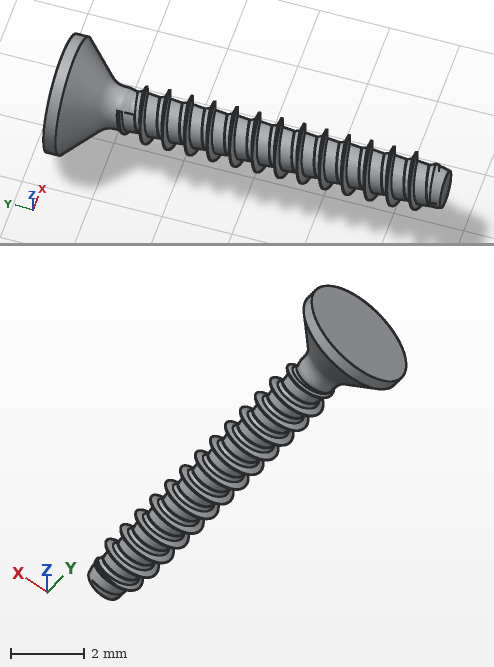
import cadquery as cq
import math

length = 11.0

head_radius = 3.35 / 2
rim_height = 0.35
cone_half_angle = math.radians(45)
neck_radius = 0.6
neck_fillet = 0.6

core_radius = 0.545
neck_end_depth = 1.81
core_start_depth = 2.07
tip_radius = 0.52
tip_taper_length = 0.1
tip_cone_height = 0.02
tip_cutter_height = 0.6
join_tolerance = 1e-4

crest_radius = 0.8
crest_width = 0.03
blade_foot_width = 0.15
head_foot_radius = 0.6
tip_foot_radius = 0.58
head_foot_reach = 0.21
tip_foot_reach = 0.41
root_sink = 0.05
foot_step = 0.004
pitch = 0.6415
thread_start_depth = 1.79
thread_start_angle = math.radians(135)
thread_turns = 14.125
fade_in_turns = 1.125
fade_in_crest_radius = 0.64
fade_out_turns = 1.25
fade_out_crest_radius = head_foot_radius
points_per_turn = 16


def make_head():
    """Head and neck, revolved down to the depth where the plain core begins."""
    sin_half = math.sin(cone_half_angle)
    cos_half = math.cos(cone_half_angle)
    fillet_top_radius = neck_radius + neck_fillet * (1 - cos_half)
    fillet_top_depth = rim_height + (head_radius - fillet_top_radius) / math.tan(cone_half_angle)
    fillet_end_depth = fillet_top_depth + neck_fillet * sin_half
    fillet_mid = (
        neck_radius + neck_fillet * (1 - math.cos(cone_half_angle / 2)),
        -fillet_end_depth + neck_fillet * math.sin(cone_half_angle / 2),
    )
    profile = (
        cq.Workplane("XY")
        .moveTo(0, 0)
        .lineTo(head_radius, 0)
        .lineTo(head_radius, -rim_height)
        .lineTo(fillet_top_radius, -fillet_top_depth)
        .threePointArc(fillet_mid, (neck_radius, -fillet_end_depth))
        .lineTo(neck_radius, -neck_end_depth)
        .lineTo(core_radius, -core_start_depth)
        .lineTo(0, -core_start_depth)
        .close()
    )
    return profile.revolve(360, (0, 0, 0), (0, 1, 0))


def thread_section(crest):
    """Corners of the thread section as (radius, offset towards the tip) for one crest radius."""
    half_foot = blade_foot_width / 2
    return [
        (core_radius - root_sink, -head_foot_reach),
        (core_radius + foot_step, -head_foot_reach),
        (head_foot_radius, -half_foot),
        (crest, -crest_width / 2),
        (crest, crest_width / 2),
        (tip_foot_radius, half_foot),
        (core_radius + foot_step, tip_foot_reach),
        (core_radius - root_sink, tip_foot_reach),
    ]


def helix_edge(start_corner, end_corner, turns):
    """Helix from turns[0] to turns[1] whose radius runs evenly between the two corners."""
    start_radius, offset = start_corner
    end_radius = end_corner[0]
    span = turns[1] - turns[0]
    steps = math.ceil(span * points_per_turn)
    points = []
    for step in range(steps + 1):
        fraction = step / steps
        turn = turns[0] + fraction * span
        radius = start_radius + fraction * (end_radius - start_radius)
        angle = thread_start_angle + 2 * math.pi * turn
        depth = thread_start_depth + pitch * turn + offset
        points.append(cq.Vector(radius * math.cos(angle), -depth, radius * math.sin(angle)))
    return cq.Edge.makeSpline(points)


def end_cap(edges, position):
    """Flat face closing the thread section at one end of its helix edges."""
    corners = [edge.positionAt(position) for edge in edges]
    return cq.Face.makeFromWires(cq.Wire.makePolygon(corners, close=True))


def make_thread():
    """Thread ridge in three stretches: rising out of the neck, full height, fading at the tip."""
    fade_out_start = thread_turns - fade_out_turns
    stretches = [
        ((0, fade_in_turns), (fade_in_crest_radius, crest_radius)),
        ((fade_in_turns, fade_out_start), (crest_radius, crest_radius)),
        ((fade_out_start, thread_turns), (crest_radius, fade_out_crest_radius)),
    ]
    faces = []
    for turns, crests in stretches:
        starts = thread_section(crests[0])
        ends = thread_section(crests[1])
        edges = [helix_edge(start, end, turns) for start, end in zip(starts, ends)]
        neighbours = edges[1:] + edges[:1]
        for edge, neighbour in zip(edges, neighbours):
            faces.append(cq.Face.makeRuledSurface(edge, neighbour))
        if turns[0] == 0:
            faces.append(end_cap(edges, 0))
        if turns[1] == thread_turns:
            faces.append(end_cap(edges, 1))
    return cq.Workplane(cq.Solid.makeSolid(cq.Shell.makeShell(faces)))


def make_tip_cutter():
    """Ring with a conical bore that points the core's end and trims the last thread turn."""
    tip_edge_depth = length - tip_cone_height
    tip_slope = (core_radius - tip_radius) / tip_taper_length
    bore_top_radius = tip_radius + tip_slope * tip_cutter_height
    cutter_top_depth = tip_edge_depth - tip_cutter_height
    cutter_end_depth = length + 2 * pitch
    profile = (
        cq.Workplane("XY")
        .moveTo(bore_top_radius, -cutter_top_depth)
        .lineTo(tip_radius, -tip_edge_depth)
        .lineTo(0, -length)
        .lineTo(0, -cutter_end_depth)
        .lineTo(head_radius, -cutter_end_depth)
        .lineTo(head_radius, -cutter_top_depth)
        .close()
    )
    return profile.revolve(360, (0, 0, 0), (0, 1, 0))


def make_shank():
    """Core cylinder with its thread, shaped to the tip at the far end."""
    core = cq.Workplane("XZ").circle(core_radius).extrude(length + pitch)
    return core.union(make_thread()).cut(make_tip_cutter())


result = make_head().union(make_shank(), tol=join_tolerance)